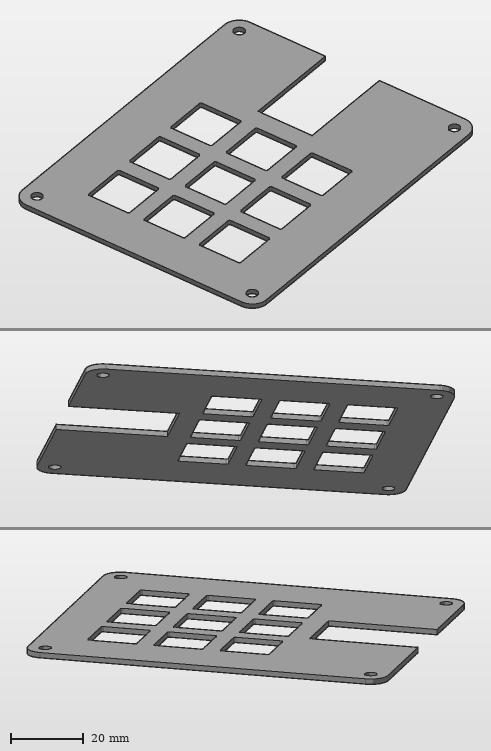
import cadquery as cq

plate_width = 83.6
plate_length = 103.3
plate_thickness = 1.5
corner_radius = 5.0

screw_hole_diameter = 3.4

slot_width = 18.5
slot_depth = 31.1
slot_center_x = -1.8

window_size = 14.0
window_pitch = 19.0
windows_per_side = 3
window_corner_radius = 0.5
grid_center_y = -11.8


def make_plate():
    plate = cq.Workplane("XY").box(plate_width, plate_length, plate_thickness)
    return plate.edges("|Z").fillet(corner_radius)


def cut_screw_holes(body):
    spacing_x = plate_width - 2 * corner_radius
    spacing_y = plate_length - 2 * corner_radius
    return (
        body.faces(">Z")
        .workplane(origin=(0, 0, 0))
        .rect(spacing_x, spacing_y, forConstruction=True)
        .vertices()
        .hole(screw_hole_diameter)
    )


def cut_edge_slot(body):
    slot_center_y = (plate_length - slot_depth) / 2
    slot = cq.Workplane("XY").box(slot_width, slot_depth, plate_thickness)
    return body.cut(slot.translate((slot_center_x, slot_center_y, 0)))


def cut_key_windows(body):
    windows = (
        cq.Workplane("XY")
        .center(0, grid_center_y)
        .rarray(window_pitch, window_pitch, windows_per_side, windows_per_side)
        .box(window_size, window_size, plate_thickness)
        .edges("|Z")
        .fillet(window_corner_radius)
    )
    return body.cut(windows)


result = make_plate()
result = cut_screw_holes(result)
result = cut_edge_slot(result)
result = cut_key_windows(result)